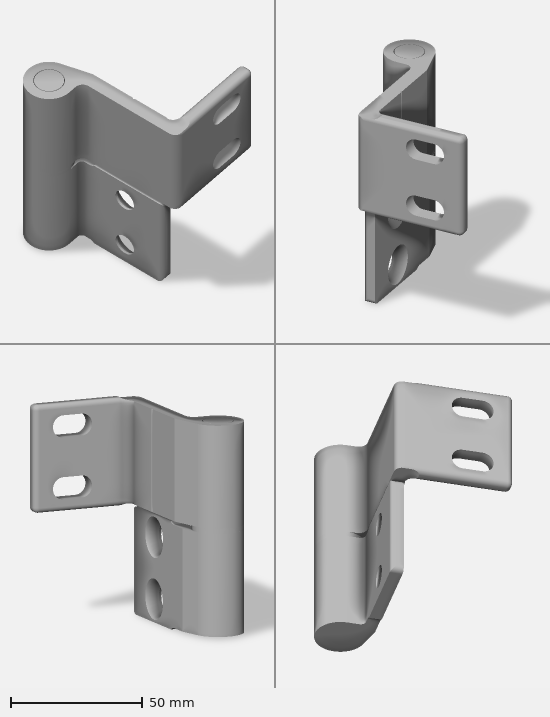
import cadquery as cq
import math

TOTAL_WIDTH = 66.9
TOTAL_DEPTH = 63.2
TOTAL_HEIGHT = 84.0
PLATE_HEIGHT = TOTAL_HEIGHT / 2
KNUCKLE_INSET = 1.0
KNUCKLE_HEIGHT = PLATE_HEIGHT - 2 * KNUCKLE_INSET
KNUCKLE_RADIUS = 10.0
SHOULDER_ANGLE = 15.0
EDGE_ROUND = 2.0

PIN_DIAMETER = 11.5
CLEARANCE_DIAMETER = 12.0

UPPER_THICKNESS = 6.0
UPPER_BACK = 13.2
UPPER_FRONT = UPPER_BACK - UPPER_THICKNESS
UPPER_RIGHT = TOTAL_WIDTH - KNUCKLE_RADIUS
UPPER_LEFT = UPPER_RIGHT - UPPER_THICKNESS
FLANGE_END = TOTAL_DEPTH - KNUCKLE_RADIUS
BEND_RADIUS = 3.5
BEND_LEFT = UPPER_LEFT - BEND_RADIUS
BEND_END = UPPER_BACK + BEND_RADIUS
UPPER_BASE = TOTAL_HEIGHT - PLATE_HEIGHT
GROOVE_X = 30.9
GROOVE_DEPTH = 0.5

LOWER_THICKNESS = 5.0
LOWER_FRONT = 7.0
LOWER_BACK = LOWER_FRONT + LOWER_THICKNESS
LOWER_RIGHT = 50.0
LOWER_CORNER = 2.0
STEP_START = 14.0
STEP_END = 16.5

HOLE_PITCH = 24.0
HOLE_DIAMETER = 9.0
HOLE_X = 31.6
HOLE_LAND = 1.0
SINK_DIAMETER = 16.0
SLOT_LENGTH = 16.4
SLOT_WIDTH = 8.6
SLOT_Y = 37.3


def box(x_range, y_range, z_range):
    """Box spanning the three given (low, high) ranges."""
    low, high = zip(x_range, y_range, z_range)
    size = [b - a for a, b in zip(low, high)]
    return cq.Workplane("XY").box(*size, centered=False).translate(low)


def knuckle_plate(right, front, back, corner, base):
    """Knuckle with a straight plate, joined by a tangent web and an inner corner radius."""
    angle = math.radians(SHOULDER_ANGLE)
    tangent_x = -KNUCKLE_RADIUS * math.sin(angle)
    tangent_y = KNUCKLE_RADIUS * math.cos(angle)
    web_end = tangent_x + (back - tangent_y) / math.tan(angle)
    corner_mid = corner * (1 - math.sqrt(0.5))
    half_root = KNUCKLE_RADIUS * math.sqrt(0.5)
    return (
        cq.Workplane("XY", origin=(0, 0, base))
        .moveTo(tangent_x, tangent_y)
        .lineTo(web_end, back)
        .lineTo(right, back)
        .lineTo(right, front)
        .lineTo(KNUCKLE_RADIUS + corner, front)
        .threePointArc(
            (KNUCKLE_RADIUS + corner_mid, front - corner_mid),
            (KNUCKLE_RADIUS, front - corner),
        )
        .lineTo(KNUCKLE_RADIUS, 0)
        .threePointArc((-half_root, -half_root), (tangent_x, tangent_y))
        .close()
        .extrude(KNUCKLE_HEIGHT)
    )


def bore(body, diameter):
    """Drill the body along the whole hinge axis."""
    return body.cut(cq.Workplane("XY").circle(diameter / 2).extrude(TOTAL_HEIGHT))


def stepped_outline(plane, start, step_start, step_end, end, base):
    """Closed outline growing from knuckle height to plate height through two concave arcs."""
    run = step_end - step_start
    radius = (run ** 2 + KNUCKLE_INSET ** 2) / (2 * KNUCKLE_INSET)
    mid = step_start + run / 2
    mid_rise = radius - math.sqrt(radius ** 2 - (run / 2) ** 2)
    low = base + KNUCKLE_INSET
    high = low + KNUCKLE_HEIGHT
    return (
        cq.Workplane(plane)
        .moveTo(start, low)
        .lineTo(step_start, low)
        .threePointArc((mid, low - mid_rise), (step_end, base))
        .lineTo(end, base)
        .lineTo(end, base + PLATE_HEIGHT)
        .lineTo(step_end, base + PLATE_HEIGHT)
        .threePointArc((mid, high + mid_rise), (step_start, high))
        .lineTo(start, high)
        .close()
    )


def hole_heights(base):
    """Z of the two fixing holes, centred on the plate."""
    middle = base + PLATE_HEIGHT / 2
    return [middle - HOLE_PITCH / 2, middle + HOLE_PITCH / 2]


def make_bent_flange():
    """Bend and rounded flange of the upper leaf, with its two slots."""
    bend_mid = BEND_RADIUS * math.sqrt(0.5)
    flange = (
        cq.Workplane("XY", origin=(0, 0, UPPER_BASE))
        .moveTo(BEND_LEFT, UPPER_FRONT)
        .lineTo(UPPER_RIGHT, UPPER_FRONT)
        .lineTo(UPPER_RIGHT, FLANGE_END)
        .lineTo(UPPER_LEFT, FLANGE_END)
        .lineTo(UPPER_LEFT, BEND_END)
        .threePointArc(
            (BEND_LEFT + bend_mid, BEND_END - bend_mid), (BEND_LEFT, UPPER_BACK)
        )
        .close()
        .extrude(PLATE_HEIGHT)
    )
    free_end = flange.faces(">Y").edges().vals()
    long_edges = [
        edge
        for side in (">Z", "<Z")
        for edge in flange.faces(side).edges().vals()
        if edge.Center().y > UPPER_BACK and edge not in free_end
    ]
    flange = flange.newObject(free_end + long_edges).fillet(EDGE_ROUND)
    trim = stepped_outline("YZ", 0, UPPER_BACK, BEND_END, FLANGE_END, UPPER_BASE)
    flange = flange.intersect(trim.extrude(UPPER_RIGHT))
    outer_edge = cq.selectors.NearestToPointSelector(
        (UPPER_RIGHT, UPPER_FRONT, UPPER_BASE + PLATE_HEIGHT / 2)
    )
    outline = box(
        (0, UPPER_RIGHT), (UPPER_FRONT, FLANGE_END), (UPPER_BASE, TOTAL_HEIGHT)
    ).edges(outer_edge).fillet(BEND_RADIUS)
    flange = flange.intersect(outline)
    slots = (
        cq.Workplane("YZ")
        .pushPoints([(SLOT_Y, z) for z in hole_heights(UPPER_BASE)])
        .slot2D(SLOT_LENGTH, SLOT_WIDTH)
        .extrude(UPPER_RIGHT)
    )
    return flange.cut(slots)


def make_upper_leaf():
    """Bored knuckle and plate with a V groove at the rear, ending in the bent flange."""
    leaf = knuckle_plate(
        BEND_LEFT, UPPER_FRONT, UPPER_BACK, BEND_RADIUS, UPPER_BASE + KNUCKLE_INSET
    )
    groove = (
        cq.Workplane("XY", origin=(0, 0, UPPER_BASE))
        .moveTo(GROOVE_X - GROOVE_DEPTH, UPPER_BACK)
        .lineTo(GROOVE_X, UPPER_BACK - GROOVE_DEPTH)
        .lineTo(GROOVE_X + GROOVE_DEPTH, UPPER_BACK)
        .close()
        .extrude(PLATE_HEIGHT)
    )
    leaf = leaf.cut(groove).union(make_bent_flange())
    return bore(leaf, CLEARANCE_DIAMETER)


def countersunk_hole(height):
    """Cutter for a fixing hole that opens into a countersink at the rear of the lower plate."""
    radius = HOLE_DIAMETER / 2
    sink_start = LOWER_FRONT + HOLE_LAND
    return (
        cq.Workplane("XY", origin=(HOLE_X, 0, height))
        .moveTo(0, LOWER_FRONT)
        .lineTo(radius, LOWER_FRONT)
        .lineTo(radius, sink_start)
        .lineTo(SINK_DIAMETER / 2, LOWER_BACK)
        .lineTo(0, LOWER_BACK)
        .close()
        .revolve(360, (0, 0, 0), (0, 1, 0))
    )


def make_lower_leaf():
    """Bored knuckle and flat plate with two countersunk fixing holes."""
    plate = (
        stepped_outline("XZ", KNUCKLE_RADIUS + LOWER_CORNER, STEP_START, STEP_END, LOWER_RIGHT, 0)
        .extrude(-LOWER_THICKNESS)
        .translate((0, LOWER_FRONT, 0))
        .edges("<Y and >X")
        .fillet(EDGE_ROUND)
    )
    rounded_corners = (
        box((0, LOWER_RIGHT), (0, UPPER_BACK), (0, PLATE_HEIGHT))
        .edges("|Y and >X")
        .fillet(EDGE_ROUND)
    )
    plate = plate.intersect(rounded_corners)
    leaf = knuckle_plate(STEP_START, LOWER_FRONT, LOWER_BACK, LOWER_CORNER, KNUCKLE_INSET)
    leaf = leaf.union(plate)
    for height in hole_heights(0):
        leaf = leaf.cut(countersunk_hole(height))
    return bore(leaf, PIN_DIAMETER)


def make_washer():
    """Spacer ring filling the gap between the two knuckles."""
    washer = (
        cq.Workplane("XY", origin=(0, 0, KNUCKLE_INSET + KNUCKLE_HEIGHT))
        .circle(KNUCKLE_RADIUS)
        .extrude(2 * KNUCKLE_INSET)
    )
    return bore(washer, CLEARANCE_DIAMETER)


def make_pin():
    """Pin held in the lower knuckle and flush with both knuckle ends."""
    return (
        cq.Workplane("XY", origin=(0, 0, KNUCKLE_INSET))
        .circle(PIN_DIAMETER / 2)
        .extrude(TOTAL_HEIGHT - 2 * KNUCKLE_INSET)
    )


upper_leaf = make_upper_leaf()
lower_leaf = make_lower_leaf()
washer = make_washer()
pin = make_pin()
result = cq.Compound.makeCompound(
    [upper_leaf.val(), lower_leaf.val(), washer.val(), pin.val()]
)